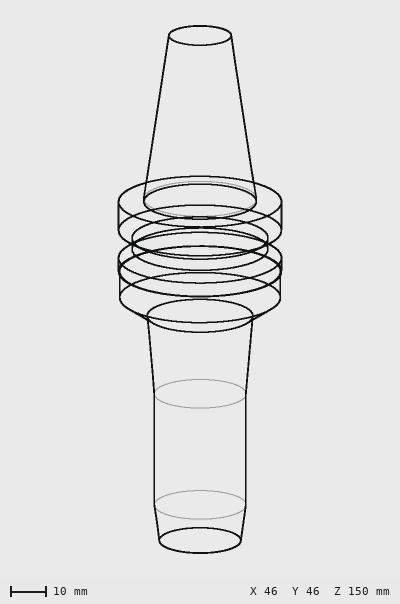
import cadquery as cq

total_length = 150.0
nose_height = 10.6
shank_top = 43.6
neck_top = 66.8
flange_cone_top = 72.2
lower_band_top = 80.0
groove_bottom = 84.0
groove_floor_bottom = 86.5
groove_floor_top = 89.8
groove_top = 92.1
flange_top = 100.6
collar_height = 0.9

nose_diameter = 23.1
shank_diameter = 26.0
neck_diameter = 29.8
lower_band_diameter = 45.5
flange_diameter = 46.0
groove_diameter = 38.4
collar_diameter = 31.8

taper_ratio = 7 / 24
taper_base = flange_top + collar_height
taper_tip_diameter = collar_diameter - taper_ratio * (total_length - taper_base)

stations = [
    (nose_diameter, 0),
    (shank_diameter, nose_height),
    (shank_diameter, shank_top),
    (neck_diameter, neck_top),
    (lower_band_diameter, flange_cone_top),
    (lower_band_diameter, lower_band_top),
    (flange_diameter, lower_band_top),
    (flange_diameter, groove_bottom),
    (groove_diameter, groove_floor_bottom),
    (groove_diameter, groove_floor_top),
    (flange_diameter, groove_top),
    (flange_diameter, flange_top),
    (collar_diameter, flange_top),
    (collar_diameter, taper_base),
    (taper_tip_diameter, total_length),
]

outline = [(0, 0)]
for diameter, height in stations:
    outline.append((diameter / 2, height))
outline.append((0, total_length))

result = cq.Workplane("XZ").polyline(outline).close().revolve(360, (0, 0), (0, 1))